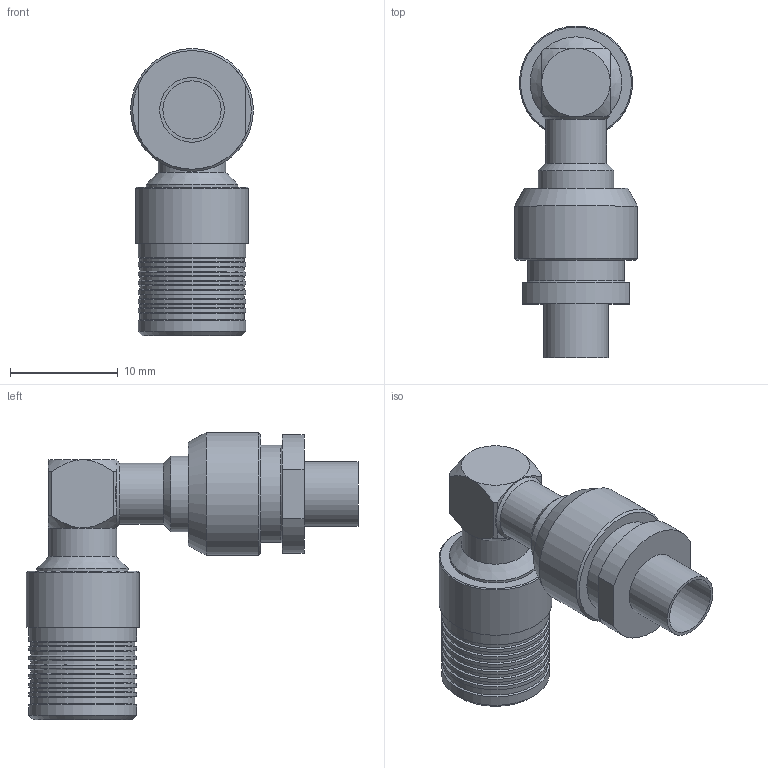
import cadquery as cq


block_size = 6.35
block_half = block_size / 2
corner_chamfer = 0.28
core_r = block_half / 2

neck_r = 3.15
neck_end_z = -5.8
collar_r = 4.25
collar_cone_z = neck_end_z - (collar_r - neck_r)
shell_r = 5.25
shell_top_z = -7.16
shell_bottom_z = -12.38
shell_edge_chamfer = 0.1
barrel_r = 5.0
barrel_end_z = -20.92
barrel_end_chamfer = 0.4

groove_root_r = 4.83
groove_flank = 0.09
groove_count = 6
groove_width = 0.51
groove_pitch = 0.85
first_groove_z = -13.67
last_groove_width = 0.8
last_groove_z = first_groove_z - groove_count * groove_pitch

arm_r = 2.83
arm_root_r = 3.1
arm_root_end = 3.43
arm_end = 7.5
hub_r = 3.5
hub_start = arm_end + (hub_r - arm_r)
nut_r = 5.7
nut_start_r = 4.8
nut_start = 9.8
nut_full = 11.46
nut_end = 16.5
nut_end_chamfer = 0.2
spool_r = 4.5
spool_flare_r = 4.6
spool_flare_start = 18.38
flange_r = 5.5
flange_start = 18.53
flange_end = 20.54
flange_across_flats = 10.0
tube_r = 3.0
tube_bore_r = 2.7
tube_end = 25.54


def turned_plug(profile):
    """Revolve an (r, z) outline about the Z axis."""
    return cq.Workplane("XZ").polyline(profile).close().revolve(360, (0, 0), (0, 1))


def turned_arm(profile):
    """Revolve an (r, distance) outline about the Y axis, distance running along -Y."""
    outline = [(r, -distance) for r, distance in profile]
    return cq.Workplane("XY").polyline(outline).close().revolve(360, (0, 0), (0, 1))


def make_block():
    """Cube with chamfered upright edges and turned 45 degree cones trimming its top and bottom corners."""
    cube = cq.Workplane("XY").box(block_size, block_size, block_size)
    cube = cube.edges("|Z").chamfer(corner_chamfer)
    double_cone = turned_plug([
        (0, block_half),
        (block_half, block_half),
        (block_size, 0),
        (neck_r + block_half, 0),
        (neck_r, -block_half),
        (0, -block_half),
    ])
    return cube.intersect(double_cone)


def barrel_groove(top_z, width):
    """Ring cutter with sloped flanks, open beyond the barrel surface."""
    bottom_z = top_z - width
    outside_r = shell_r
    return turned_plug([
        (outside_r, top_z),
        (barrel_r, top_z),
        (groove_root_r, top_z - groove_flank),
        (groove_root_r, bottom_z + groove_flank),
        (barrel_r, bottom_z),
        (outside_r, bottom_z),
    ])


def make_plug():
    plug = turned_plug([
        (0, 0),
        (0, barrel_end_z),
        (barrel_r - barrel_end_chamfer, barrel_end_z),
        (barrel_r, barrel_end_z + barrel_end_chamfer),
        (barrel_r, shell_bottom_z),
        (shell_r, shell_bottom_z),
        (shell_r, shell_top_z - shell_edge_chamfer),
        (shell_r - shell_edge_chamfer, shell_top_z),
        (collar_r, shell_top_z),
        (collar_r, collar_cone_z),
        (neck_r, neck_end_z),
        (neck_r, -block_half),
        (core_r, 0),
    ])
    for index in range(groove_count):
        plug = plug.cut(barrel_groove(first_groove_z - index * groove_pitch, groove_width))
    return plug.cut(barrel_groove(last_groove_z, last_groove_width))


def make_flange():
    """Round flange with two flats facing -X and +X."""
    length = flange_end - flange_start
    middle = (flange_start + flange_end) / 2
    disc = turned_arm([
        (0, flange_start),
        (flange_r, flange_start),
        (flange_r, flange_end),
        (0, flange_end),
    ])
    slab = cq.Workplane("XY").box(flange_across_flats, length, 2 * flange_r)
    return disc.intersect(slab.translate((0, -middle, 0)))


def make_arm():
    arm = turned_arm([
        (0, 0),
        (core_r, 0),
        (arm_root_r, block_half),
        (arm_r, arm_root_end),
        (arm_r, arm_end),
        (hub_r, hub_start),
        (hub_r, nut_start),
        (nut_start_r, nut_start),
        (nut_r, nut_full),
        (nut_r, nut_end - nut_end_chamfer),
        (nut_r - nut_end_chamfer, nut_end),
        (spool_r, nut_end),
        (spool_r, spool_flare_start),
        (spool_flare_r, flange_start),
        (tube_r, flange_start),
        (tube_r, tube_end),
        (0, tube_end),
    ])
    bore = turned_arm([
        (0, flange_end),
        (tube_bore_r, flange_end),
        (tube_bore_r, tube_end),
        (0, tube_end),
    ])
    return arm.union(make_flange()).cut(bore)


result = make_block().union(make_plug()).union(make_arm())